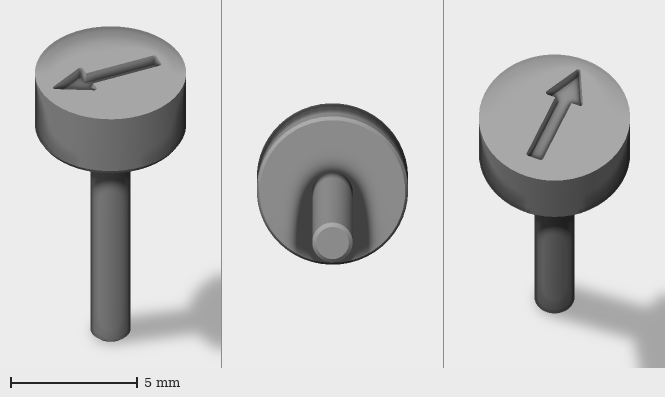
import cadquery as cq
import math

head_diameter = 6.0
shaft_diameter = 1.6
total_height = 13.0
head_height = 2.8

head_chamfer_height = 0.2
head_chamfer_angle = 30.0
shaft_chamfer = 0.15

arrow_depth = 0.4
wall_spread = 0.1
arrow_tail_y = 1.98
arrow_shoulder_y = -1.0
arrow_tip_y = -2.38
arrow_stem_width = 0.5
arrow_head_width = 1.37


def make_body():
    """Revolved profile of the shaft and head."""
    head_radius = head_diameter / 2
    shaft_radius = shaft_diameter / 2
    head_base_z = total_height - head_height
    head_chamfer_width = head_chamfer_height * math.tan(math.radians(head_chamfer_angle))
    return (
        cq.Workplane("XZ")
        .lineTo(shaft_radius - shaft_chamfer, 0)
        .lineTo(shaft_radius, shaft_chamfer)
        .lineTo(shaft_radius, head_base_z)
        .lineTo(head_radius - head_chamfer_width, head_base_z)
        .lineTo(head_radius, head_base_z + head_chamfer_height)
        .lineTo(head_radius, total_height)
        .lineTo(0, total_height)
        .close()
        .revolve(360, (0, 0, 0), (0, 1, 0))
    )


def make_arrow_pocket():
    """Arrow-shaped cutter whose walls lean outward from a sharp-cornered floor."""
    stem_x = arrow_stem_width / 2
    barb_x = arrow_head_width / 2
    outline = [
        (stem_x, arrow_tail_y),
        (-stem_x, arrow_tail_y),
        (-stem_x, arrow_shoulder_y),
        (-barb_x, arrow_shoulder_y),
        (0, arrow_tip_y),
        (barb_x, arrow_shoulder_y),
        (stem_x, arrow_shoulder_y),
    ]
    wall_angle = math.degrees(math.atan2(wall_spread, arrow_depth))
    return (
        cq.Workplane("XY")
        .workplane(offset=total_height - arrow_depth)
        .polyline(outline)
        .close()
        .extrude(arrow_depth, taper=-wall_angle)
    )


result = make_body().cut(make_arrow_pocket())